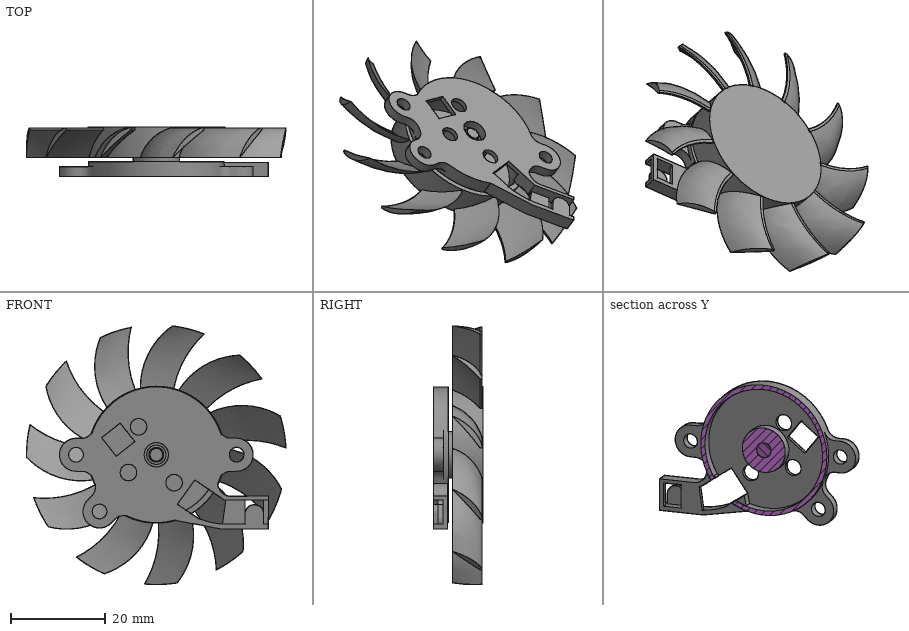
import cadquery as cq
import math


BASE_RADIUS = 14.38
BASE_DEPTH = 3.15
BASE_FACE = 1.0
CAVITY_RADIUS = 13.3

EAR_ANGLES = (0, 180, 225)
EAR_REACH = 17.0
EAR_RADIUS = 3.5
EAR_DEPTH = 2.1
EAR_HOLE_RADIUS = 1.55
EAR_BLEND = 2.5
BLEND_Z = EAR_RADIUS + EAR_BLEND
BLEND_X = math.sqrt((BASE_RADIUS + EAR_BLEND) ** 2 - BLEND_Z**2)

ROUND_HOLE_RADIUS = 1.75
ROUND_HOLE_REACH = 7.0
ROUND_HOLE_ANGLES = (122.5, 212.5, 302.5)
WINDOW_SIZE = 5.0
WINDOW_CENTRE = (-8.07, 3.19)
WINDOW_TILT = 38.3

ARM_DEPTH = 3.0
ARM_END = 23.7
ARM_TOP = -8.78
ARM_BOTTOM = -15.72
ARM_NOTCH_RADIUS = 2.75
ARM_TOP_WALL = 0.82
ARM_BOTTOM_WALL = 1.02
ARM_ROOT = (3.75, -13.85)
ARM_KNEE_X = 13.75
CHANNEL_CORNER = (4.45, -10.5)
CHANNEL_TOP_CORNER = (8.14, -5.33)
CHANNEL_TOP_KNEE_X = 14.38
CHANNEL_CURVE_START = (8.96, -13.49)
CHANNEL_CURVE_MIDDLE = (11.35, -14.26)
CHANNEL_CURVE_END_X = 13.88
CHANNEL_TOP = ARM_TOP - ARM_TOP_WALL
CHANNEL_BOTTOM = ARM_BOTTOM + ARM_BOTTOM_WALL
ARM_FLOOR = 1.0
FLOOR_START_TOP = 14.7
FLOOR_START_BOTTOM = 14.0
TAB_WIDTH = 3.95
TAB_DEPTH = 1.0
TAB_TOP = -10.55
END_POST = 0.97
TAB_RIGHT = ARM_END - END_POST
TAB_LEFT = TAB_RIGHT - TAB_WIDTH

TUBE_RADIUS = 4.93
TUBE_END = 9.0
TUBE_MOUTH_RADIUS = 2.57
TUBE_MOUTH_DEPTH = 2.0
TUBE_STEP_RADIUS = 2.04
TUBE_STEP_DEPTH = 0.5
SHAFT_RADIUS = 1.55
SHAFT_START = 0.8
SHAFT_CHAMFER = 0.2

HUB_RADIUS = 14.5
HUB_BORE_RADIUS = 13.3
HUB_START = 4.0
HUB_END = 10.5
HUB_CAP = 1.0

BLADE_COUNT = 11
BLADE_TIP_RADIUS = 27.5
BLADE_END = 10.3
BLADE_ROOT = 13.7
BLADE_SECTIONS = 5
BLADE_BLUNT = 0.7
BLADE_BLUNT_DEPTH = 0.4
OUTER_BOW = 1.15
INNER_BOW = 0.25
LEADING_EDGE = ((-3.4, 14.3), (-1.84, 21.1), (3.6, 27.4))
TRAILING_EDGE = ((3.75, 14.3), (6.07, 20.4), (10.18, 25.6))


def cylinder(radius, start, end):
    """Round bar along the fan axis from y = start to y = end."""
    return cq.Workplane("XZ", origin=(0, start, 0)).circle(radius).extrude(start - end)


def sketch_at(depth):
    """Sketch plane across the fan axis, with local axes X and Z."""
    return cq.Workplane("XZ", origin=(0, depth, 0))


def turned(shape, angle):
    """Turn a shape about the fan axis, from X towards Z."""
    return shape.rotate((0, 0, 0), (0, -1, 0), angle)


def ear():
    """Mounting ear along +X, blended into the disc by a concave arc on each side."""
    share = BASE_RADIUS / (BASE_RADIUS + EAR_BLEND)
    foot = (BLEND_X * share, BLEND_Z * share)
    foot_angle = math.atan2(foot[1] - BLEND_Z, foot[0] - BLEND_X)
    middle_angle = (foot_angle - math.pi / 2) / 2
    middle = (
        BLEND_X + EAR_BLEND * math.cos(middle_angle),
        BLEND_Z + EAR_BLEND * math.sin(middle_angle),
    )
    return (
        sketch_at(0)
        .moveTo(foot[0], -foot[1])
        .threePointArc((middle[0], -middle[1]), (BLEND_X, -EAR_RADIUS))
        .lineTo(EAR_REACH, -EAR_RADIUS)
        .threePointArc((EAR_REACH + EAR_RADIUS, 0), (EAR_REACH, EAR_RADIUS))
        .lineTo(BLEND_X, EAR_RADIUS)
        .threePointArc(middle, foot)
        .close()
        .extrude(-EAR_DEPTH)
    )


def ear_hole():
    return sketch_at(0).center(EAR_REACH, 0).circle(EAR_HOLE_RADIUS).extrude(-EAR_DEPTH)


def arm_block():
    """Solid outline of the cable arm, rooted inside the disc, with a round notch below the ear."""
    notch_z = ARM_TOP + ARM_NOTCH_RADIUS
    diagonal = ARM_NOTCH_RADIUS * math.sqrt(0.5)
    return (
        sketch_at(0)
        .moveTo(*ARM_ROOT)
        .lineTo(ARM_KNEE_X, ARM_BOTTOM)
        .lineTo(ARM_END, ARM_BOTTOM)
        .lineTo(ARM_END, ARM_TOP)
        .lineTo(BLEND_X, ARM_TOP)
        .threePointArc((BLEND_X - diagonal, notch_z - diagonal), (BLEND_X - ARM_NOTCH_RADIUS, notch_z))
        .lineTo(*CHANNEL_CORNER)
        .close()
        .extrude(-ARM_DEPTH)
    )


def cable_channel():
    """Channel from inside the disc to the end of the arm, open through the full depth."""
    return (
        sketch_at(0)
        .moveTo(*CHANNEL_TOP_CORNER)
        .lineTo(CHANNEL_TOP_KNEE_X, CHANNEL_TOP)
        .lineTo(ARM_END, CHANNEL_TOP)
        .lineTo(ARM_END, CHANNEL_BOTTOM)
        .lineTo(CHANNEL_CURVE_END_X, CHANNEL_BOTTOM)
        .threePointArc(CHANNEL_CURVE_MIDDLE, CHANNEL_CURVE_START)
        .lineTo(*CHANNEL_CORNER)
        .close()
        .extrude(-BASE_DEPTH)
    )


def arm_floor():
    """Floor web and end post at the back of the channel, with a gap between them."""
    start = ARM_DEPTH - ARM_FLOOR
    web = (
        sketch_at(start)
        .moveTo(FLOOR_START_TOP, CHANNEL_TOP)
        .lineTo(TAB_LEFT, CHANNEL_TOP)
        .lineTo(TAB_LEFT, CHANNEL_BOTTOM)
        .lineTo(FLOOR_START_BOTTOM, CHANNEL_BOTTOM)
        .close()
        .extrude(-ARM_FLOOR)
    )
    post = (
        sketch_at(start)
        .moveTo(TAB_RIGHT, CHANNEL_BOTTOM)
        .lineTo(ARM_END, CHANNEL_BOTTOM)
        .lineTo(ARM_END, CHANNEL_TOP)
        .lineTo(TAB_RIGHT, CHANNEL_TOP)
        .close()
        .extrude(-ARM_FLOOR)
    )
    return web.union(post)


def arm_tab():
    """Round-topped retaining tab standing on the lower arm wall."""
    radius = TAB_WIDTH / 2
    shoulder = TAB_TOP - radius
    return (
        sketch_at(0)
        .moveTo(TAB_LEFT, CHANNEL_BOTTOM)
        .lineTo(TAB_RIGHT, CHANNEL_BOTTOM)
        .lineTo(TAB_RIGHT, shoulder)
        .threePointArc((TAB_LEFT + radius, TAB_TOP), (TAB_LEFT, shoulder))
        .close()
        .extrude(-TAB_DEPTH)
    )


def face_openings():
    """Three round holes and one tilted square window."""
    window = sketch_at(0).rect(WINDOW_SIZE, WINDOW_SIZE).extrude(-BASE_FACE)
    openings = turned(window, WINDOW_TILT).translate((WINDOW_CENTRE[0], 0, WINDOW_CENTRE[1]))
    hole = sketch_at(0).center(ROUND_HOLE_REACH, 0).circle(ROUND_HOLE_RADIUS).extrude(-BASE_FACE)
    for angle in ROUND_HOLE_ANGLES:
        openings = openings.union(turned(hole, angle))
    return openings


def make_base():
    body = cylinder(BASE_RADIUS, 0, BASE_DEPTH)
    for angle in EAR_ANGLES:
        body = body.union(turned(ear(), angle))
    for angle in EAR_ANGLES:
        body = body.cut(turned(ear_hole(), angle))
    body = body.cut(cylinder(CAVITY_RADIUS, BASE_FACE, BASE_DEPTH))
    body = body.union(arm_block())
    body = body.cut(cable_channel())
    body = body.union(arm_floor()).union(arm_tab())
    body = body.cut(face_openings())

    step_end = TUBE_MOUTH_DEPTH + TUBE_STEP_DEPTH
    body = body.union(cylinder(TUBE_RADIUS, 0, TUBE_END))
    body = body.cut(cylinder(TUBE_MOUTH_RADIUS, 0, TUBE_MOUTH_DEPTH))
    body = body.cut(cylinder(TUBE_STEP_RADIUS, TUBE_MOUTH_DEPTH, step_end))
    return body.cut(cylinder(SHAFT_RADIUS, step_end, TUBE_END))


def edge_x(points, height):
    """X of a swept blade edge at a given height: the left side of the circle through three points."""
    (x1, z1), (x2, z2), (x3, z3) = points
    a1, b1 = x2 - x1, z2 - z1
    a2, b2 = x3 - x2, z3 - z2
    c1 = (x2**2 - x1**2 + z2**2 - z1**2) / 2
    c2 = (x3**2 - x2**2 + z3**2 - z2**2) / 2
    det = a1 * b2 - a2 * b1
    centre_x = (c1 * b2 - c2 * b1) / det
    centre_z = (a1 * c2 - a2 * c1) / det
    radius = math.hypot(x1 - centre_x, z1 - centre_z)
    return centre_x - math.sqrt(radius**2 - (height - centre_z) ** 2)


def bowed_middle(start, end, bow):
    """Middle of an arc between two points, pushed off its chord to the left by bow."""
    run = end[0] - start[0]
    rise = end[1] - start[1]
    chord = math.hypot(run, rise)
    middle_x = (start[0] + end[0]) / 2
    middle_y = (start[1] + end[1]) / 2
    return (middle_x - bow * rise / chord, middle_y + bow * run / chord)


def blade_section(height):
    """Blade section at z = height: sharp at the leading edge, blunt at the trailing edge."""
    lead = (edge_x(LEADING_EDGE, height), HUB_START)
    trail_x = edge_x(TRAILING_EDGE, height)
    inner = (trail_x, BLADE_END - BLADE_BLUNT_DEPTH)
    outer = (trail_x - BLADE_BLUNT, BLADE_END)
    return (
        cq.Workplane("XY", origin=(0, 0, height))
        .moveTo(*lead)
        .threePointArc(bowed_middle(lead, outer, OUTER_BOW), outer)
        .lineTo(trail_x, BLADE_END)
        .lineTo(*inner)
        .threePointArc(bowed_middle(lead, inner, INNER_BOW), lead)
        .close()
        .val()
    )


def make_blade():
    """First blade, lofted outwards along Z and trimmed to the tip radius."""
    pitch = (BLADE_TIP_RADIUS - BLADE_ROOT) / (BLADE_SECTIONS - 1)
    sections = [blade_section(BLADE_ROOT + i * pitch) for i in range(BLADE_SECTIONS)]
    blade = cq.Workplane(cq.Solid.makeLoft(sections))
    return blade.intersect(cylinder(BLADE_TIP_RADIUS, HUB_START, BLADE_END))


def make_rotor():
    body = cylinder(HUB_RADIUS, HUB_START, HUB_END)
    body = body.cut(cylinder(HUB_BORE_RADIUS, HUB_START, HUB_END - HUB_CAP))
    blade = make_blade()
    for i in range(BLADE_COUNT):
        body = body.union(turned(blade, i * 360 / BLADE_COUNT))
    shaft = cylinder(SHAFT_RADIUS, SHAFT_START, HUB_END).faces("<Y").chamfer(SHAFT_CHAMFER)
    return body.union(shaft)


base = make_base()
rotor = make_rotor()

result = cq.Compound.makeCompound([base.val(), rotor.val()])